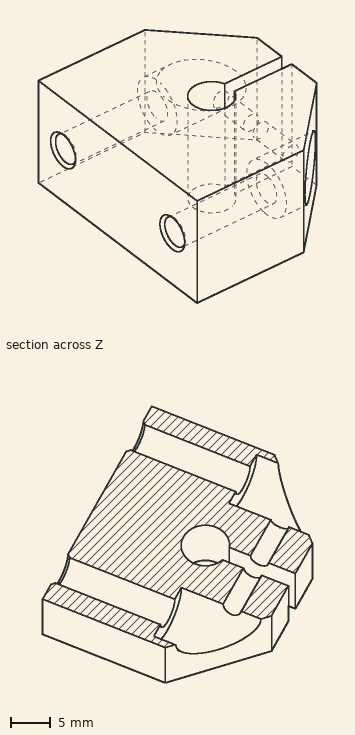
import cadquery as cq

width = 32.0
depth = 27.0
height = 16.0
corner_cut = 10.0

rod_diameter = 6.0
rod_y = 15.0
slot_width = 2.0

mount_diameter = 4.13
mount_mouth_diameter = 5.0
mount_x = width / 2 - corner_cut / 2
counterbore_diameter = 8.0
counterbore_floor_y = rod_y

screw_y = depth - corner_cut / 2
screw_diameter = 2.45


def make_block():
    outline = [
        (-width / 2, 0),
        (width / 2, 0),
        (width / 2, depth - corner_cut),
        (width / 2 - corner_cut, depth),
        (corner_cut - width / 2, depth),
        (-width / 2, depth - corner_cut),
    ]
    return cq.Workplane("XY").polyline(outline).close().extrude(height / 2, both=True)


def make_clamp_opening():
    bore = cq.Workplane("XY").center(0, rod_y).circle(rod_diameter / 2).extrude(height / 2, both=True)
    slot_length = depth - rod_y
    slot = cq.Workplane("XY").center(0, rod_y + slot_length / 2).rect(slot_width, slot_length)
    return bore.union(slot.extrude(height / 2, both=True))


def make_mounting_hole(x):
    """Countersunk hole from the mounting face, counterbored from the corner cut."""
    mount_radius = mount_diameter / 2
    mouth_radius = mount_mouth_diameter / 2
    mouth_depth = mouth_radius - mount_radius
    bore_radius = counterbore_diameter / 2
    profile = [
        (0, 0),
        (mouth_radius, 0),
        (mount_radius, mouth_depth),
        (mount_radius, counterbore_floor_y),
        (bore_radius, counterbore_floor_y),
        (bore_radius, depth),
        (0, depth),
    ]
    hole = cq.Workplane("XY").polyline(profile).close().revolve(360, (0, 0), (0, 1))
    return hole.translate((x, 0, 0))


def make_screw_hole():
    return cq.Workplane("YZ").center(screw_y, 0).circle(screw_diameter / 2).extrude(width / 2, both=True)


result = make_block().cut(make_clamp_opening()).cut(make_screw_hole())
for side in (-1, 1):
    result = result.cut(make_mounting_hole(side * mount_x))
result = result.translate((0, 0, height / 2))